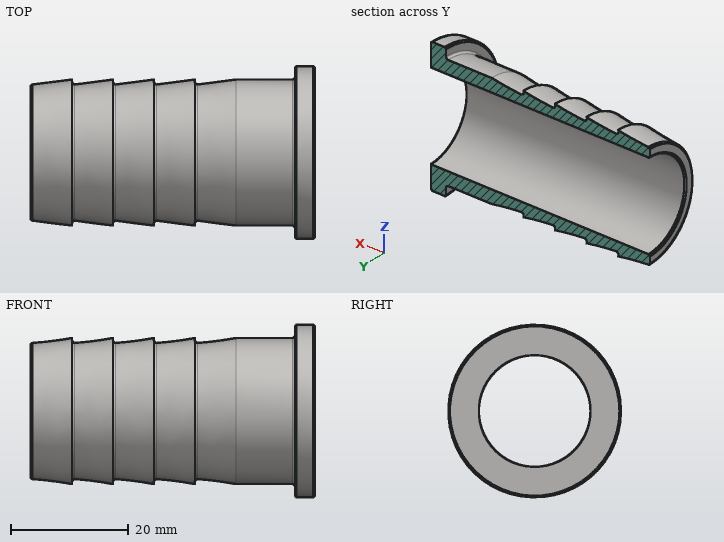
import cadquery as cq

length = 48.5
flange_radius = 29.5 / 2
flange_thickness = 3.4
shank_radius = 25.0 / 2
bore_radius = 19.0 / 2

barb_count = 5
barb_pitch = 7.0
first_crest_x = 7.1
root_radius = 11.65
root_fillet = 0.45

edge_chamfer = 0.3
flange_fillet = 0.45

flange_face_x = length - flange_thickness


def make_body_profile():
    """Half section of the solid body, from the axis outwards."""
    profile = (
        cq.Workplane("XY")
        .lineTo(0, root_radius - edge_chamfer)
        .lineTo(edge_chamfer, root_radius)
    )
    for barb in range(barb_count - 1):
        crest_x = first_crest_x + barb * barb_pitch
        profile = (
            profile.lineTo(crest_x, shank_radius)
            .lineTo(crest_x, root_radius + root_fillet)
            .radiusArc((crest_x + root_fillet, root_radius), -root_fillet)
        )
    shank_start_x = first_crest_x + (barb_count - 1) * barb_pitch
    return (
        profile.lineTo(shank_start_x, shank_radius)
        .lineTo(flange_face_x - flange_fillet, shank_radius)
        .radiusArc((flange_face_x, shank_radius + flange_fillet), -flange_fillet)
        .lineTo(flange_face_x, flange_radius - edge_chamfer)
        .lineTo(flange_face_x + edge_chamfer, flange_radius)
        .lineTo(length - edge_chamfer, flange_radius)
        .lineTo(length, flange_radius - edge_chamfer)
        .lineTo(length, 0)
        .close()
    )


def make_bore():
    """Through bore with its mouth chamfered at the hose end."""
    return (
        cq.Workplane("XY")
        .lineTo(0, bore_radius + edge_chamfer)
        .lineTo(edge_chamfer, bore_radius)
        .lineTo(length, bore_radius)
        .lineTo(length, 0)
        .close()
        .revolve(360, (0, 0, 0), (1, 0, 0))
    )


body = make_body_profile().revolve(360, (0, 0, 0), (1, 0, 0))
result = body.cut(make_bore())